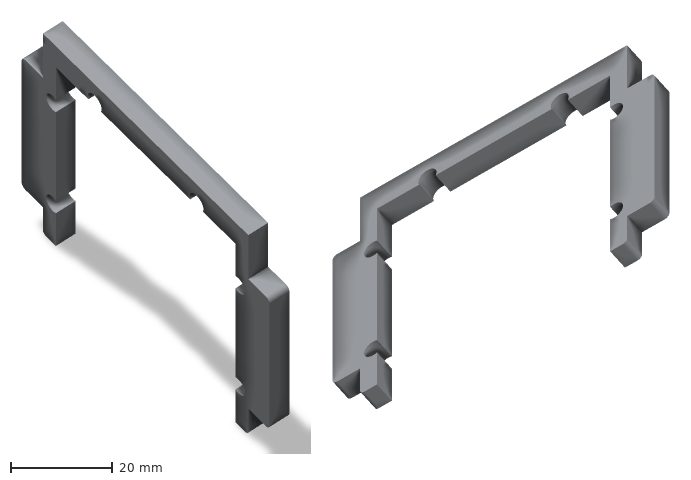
import cadquery as cq

overall_width = 78.4
height = 63.7
thickness = 5.0

frame_width = 65.0
opening_width = 56.8
top_bar_height = 6.75
foot_radius = 1.0

ear_top_drop = 14.0
ear_height = 41.3
ear_radius = 1.2

notch_radius = 2.2
notch_inset = 0.95
notch_spacing = 32.2
side_notch_top_drop = 19.05

opening_top = height - top_bar_height
ear_top = height - ear_top_drop
side_notch_top = height - side_notch_top_drop


def block(width, bottom, top):
    """Full-thickness block centred on X and Y between two heights."""
    return cq.Workplane("XY").box(
        width, thickness, top - bottom, centered=(True, True, False)
    ).translate((0, 0, bottom))


def notch_cutters():
    """Cylinders through the thickness: two on the top edge, two on each side."""
    top_z = opening_top + notch_inset
    side_x = opening_width / 2 + notch_inset
    centres = []
    for side in (-1, 1):
        centres.append((side * notch_spacing / 2, top_z))
        centres.append((side * side_x, side_notch_top))
        centres.append((side * side_x, side_notch_top - notch_spacing))
    return (
        cq.Workplane("XZ")
        .pushPoints(centres)
        .circle(notch_radius)
        .extrude(thickness / 2, both=True)
    )


frame = block(frame_width, 0, height).edges("|Y and <Z").fillet(foot_radius)
ears = block(overall_width, ear_top - ear_height, ear_top).edges("|Y").fillet(ear_radius)
opening = block(opening_width, 0, opening_top)

result = frame.union(ears).cut(opening).cut(notch_cutters())